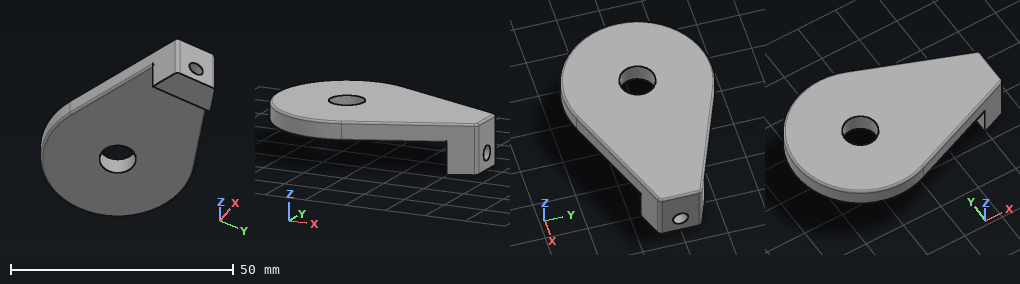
import cadquery as cq
import math

length = 52.45
height = 12.0
plate_thickness = 4.6
disc_radius = 17.49

nose_width = 9.95
nose_corner_radius = 1.05
lug_length = 6.5
rim_radius = 0.5

pivot_diameter = 8.2
lug_hole_diameter = 3.5
lug_hole_height = 4.0

nose_x = length - disc_radius
plate_bottom = height - plate_thickness


def teardrop(bottom, depth):
    """Disc with two tangent sides running to a blunt, round-cornered nose."""
    half_nose = nose_width / 2
    corner_distance = math.hypot(nose_x, half_nose)
    tangent_angle = math.atan2(half_nose, nose_x) + math.acos(disc_radius / corner_distance)
    tangent_x = disc_radius * math.cos(tangent_angle)
    tangent_y = disc_radius * math.sin(tangent_angle)
    return (
        cq.Workplane("XY", origin=(0, 0, bottom))
        .moveTo(nose_x, -half_nose)
        .lineTo(nose_x, half_nose)
        .lineTo(tangent_x, tangent_y)
        .threePointArc((-disc_radius, 0), (tangent_x, -tangent_y))
        .close()
        .extrude(depth)
        .edges("|Z and >X")
        .fillet(nose_corner_radius)
    )


plate = teardrop(plate_bottom, plate_thickness).faces("<Z or >Z").edges().fillet(rim_radius)

lug_top = height - rim_radius
lug_region = cq.Workplane("XY").box(
    lug_length, 2 * disc_radius, lug_top, centered=(False, True, False)
).translate((nose_x - lug_length, 0, 0))
lug = teardrop(0, lug_top).intersect(lug_region)

pivot_hole = cq.Workplane("XY").circle(pivot_diameter / 2).extrude(height)
lug_hole = (
    cq.Workplane("YZ", origin=(nose_x - lug_length, 0, lug_hole_height))
    .circle(lug_hole_diameter / 2)
    .extrude(lug_length)
)

result = plate.union(lug).cut(pivot_hole).cut(lug_hole)